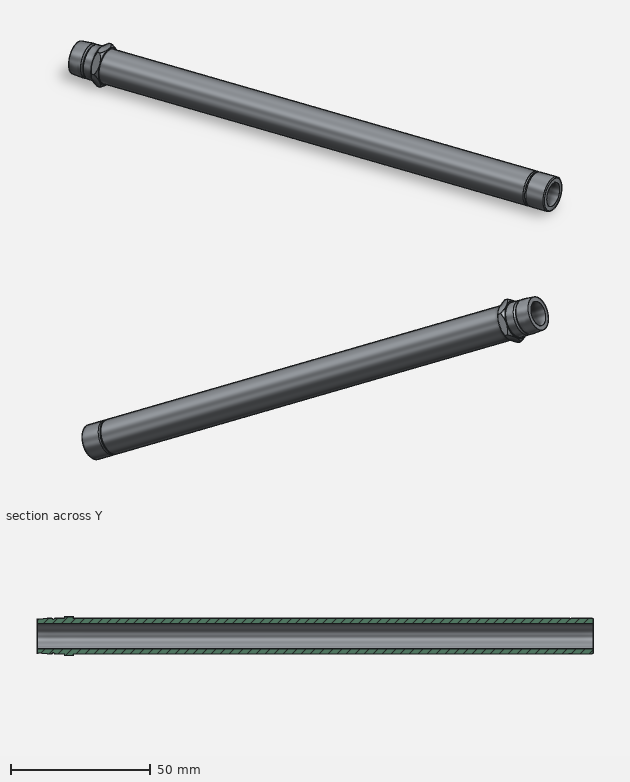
import cadquery as cq
import math

length = 200.0
tube_diameter = 13.0
bore_diameter = 9.0
tube_radius = tube_diameter / 2
bore_radius = bore_diameter / 2

nose_length = 4.0
nose_tip_diameter = 12.5

v_width = 1.2
spigot_groove_center = 5.8
spigot_groove_depth = 0.5
end_groove_center = 191.8
end_groove_depth = 0.2

rim_chamfer = 0.5

hex_start = 9.8
hex_thickness = 3.2
hex_across_flats = 14.0
hex_across_corners = hex_across_flats / math.cos(math.radians(30))
hex_chamfer_angle = 45.0


def turned(outline):
    """Solid of revolution about X from (x, radius) points."""
    points = [(x, -radius) for x, radius in outline]
    return cq.Workplane("XY").polyline(points).close().revolve(360, (0, 0, 0), (1, 0, 0))


def v_points(center, depth):
    """The three (x, radius) points of a V cut into the tube surface."""
    return [
        (center - v_width / 2, tube_radius),
        (center, tube_radius - depth),
        (center + v_width / 2, tube_radius),
    ]


def tube_body():
    return turned([
        (0, bore_radius),
        (0, nose_tip_diameter / 2),
        (nose_length, tube_radius),
        *v_points(spigot_groove_center, spigot_groove_depth),
        *v_points(end_groove_center, end_groove_depth),
        (length - rim_chamfer, tube_radius),
        (length, tube_radius - rim_chamfer),
        (length, bore_radius),
    ])


def hex_collar():
    """Hexagonal ring around the tube with its corners coned off on both faces."""
    prism = (
        cq.Workplane("YZ")
        .workplane(offset=hex_start)
        .polygon(6, hex_across_corners)
        .extrude(hex_thickness)
    )
    face_radius = hex_across_flats / 2
    corner_radius = hex_across_corners / 2
    setback = (corner_radius - face_radius) * math.tan(math.radians(hex_chamfer_angle))
    hex_end = hex_start + hex_thickness
    coned_ring = turned([
        (hex_start, bore_radius),
        (hex_start, face_radius),
        (hex_start + setback, corner_radius),
        (hex_end - setback, corner_radius),
        (hex_end, face_radius),
        (hex_end, bore_radius),
    ])
    return prism.intersect(coned_ring)


result = tube_body().union(hex_collar())